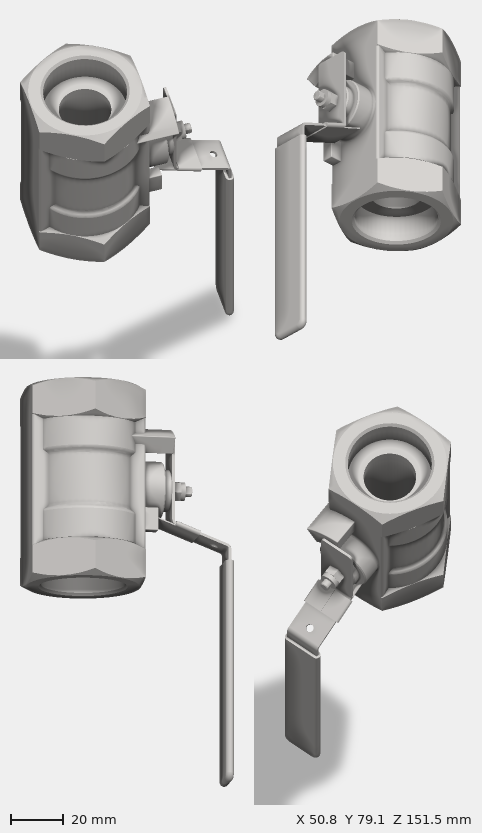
import cadquery as cq
import math


hex_flats = 44.0
hex_corners = hex_flats / math.cos(math.pi / 6)
half_flats = hex_flats / 2
half_corner_edge = hex_corners / 4
housing_length = 77.0
hex_end_height = 15.0
hex_face_diameter = 43.3
hex_chamfer_angle = 30.0
hex_blank_allowance = 1.5
bore_diameter = 20.0
socket_diameter = 32.0
socket_depth = 11.8
socket_chamfer = 0.98
rib_overlap = 2.1
rib_height = housing_length - 2 * (hex_end_height - rib_overlap)
rib_edge_radius = 1.0
neck_diameter = 41.0
neck_height = 23.0
neck_root_radius = 2.0
neck_lip_radius = 1.4

boss_diameter = 22.0
boss_top = 30.1
boss_root_radius = 0.8
boss_embedding = 1.5
collar_diameter = 16.0
edge_chamfer = 0.5
stem_diameter = 4.0
stem_flats = 3.2
stem_top = 42.0
stem_tip_chamfer = 0.3
nut_flats = 7.0
nut_hex_height = 3.2
nut_height = 5.0
nut_turn = 43.5

stop_inner_diameter = socket_diameter
stop_outer_diameter = 46.5
stop_start_angle = 50.0
stop_end_angle = 89.3
stop_top = 33.0
block_foot = 14.4
block_edge_radius = 0.3
lock_block_start_x = 7.4
lock_block_width = 4.5
lock_block_start_z = -17.9
lock_block_height = 8.8
lock_block_top = 27.0

lever_thickness = 1.0
lever_width = 14.2
lever_slope = 21.0
lever_head_top = 20.1
lever_corner_radius = 1.4
lever_underside = 33.2
lever_hole_diameter = 3.0
lever_hole_y = 50.9
upper_bend_z = -13.5
bend_radius = 1.0

grip_width = 16.0
grip_thickness = 3.2
grip_outer_y = 57.1
grip_top_z = -27.4
overall_height = 151.5
grip_bottom_z = housing_length / 2 - overall_height
grip_corner_radius = 3.0

slide_sheet = 0.5
slide_width = 16.0
slide_start = 1.0
slide_end = 10.9
slide_seam_gap = 0.08
tongue_length = 9.1

lever_top_y = lever_underside + lever_thickness
upper_bend_y = lever_underside + lever_thickness / 2
grip_y = grip_outer_y - grip_thickness / 2
slope = math.radians(lever_slope)
lower_bend_z = upper_bend_z - (grip_y - upper_bend_y) * math.tan(slope)
lever_end_z = grip_bottom_z + grip_corner_radius


def cylinder_y(diameter, y_start, y_end):
    """Cylinder around the stem axis between two Y levels."""
    return cq.Workplane("XZ", origin=(0, y_start, 0)).circle(diameter / 2).extrude(y_start - y_end)


def hex_end():
    """Hexagonal end, its corners turned off by a cone at both faces, standing on Z = 0."""
    face_radius = hex_face_diameter / 2
    blank_radius = hex_corners / 2 + hex_blank_allowance
    cone_height = (blank_radius - face_radius) * math.tan(math.radians(hex_chamfer_angle))
    prism = cq.Workplane("XY").polygon(6, hex_corners).extrude(hex_end_height)
    turned = (
        cq.Workplane("XZ")
        .moveTo(0, 0)
        .lineTo(face_radius, 0)
        .lineTo(blank_radius, cone_height)
        .lineTo(blank_radius, hex_end_height - cone_height)
        .lineTo(face_radius, hex_end_height)
        .lineTo(0, hex_end_height)
        .close()
        .revolve(360, (0, 0, 0), (0, 1, 0))
    )
    return prism.intersect(turned)


def neck_groove():
    """Cutter for the waist on both sides, rounded where it meets the neck and the ribs."""
    ring = (
        cq.Workplane("XY", origin=(0, 0, -neck_height / 2))
        .circle(hex_corners / 2)
        .circle(neck_diameter / 2)
        .extrude(neck_height)
    )
    beside_rib = (
        cq.Workplane("XY")
        .box(hex_corners, hex_corners, neck_height)
        .translate((half_corner_edge + hex_corners / 2, 0, 0))
    )
    groove = (
        ring.intersect(beside_rib)
        .faces("%CYLINDER")
        .faces("<X")
        .edges()
        .fillet(neck_root_radius)
    )
    return groove.union(groove.mirror("YZ"))


def waisted_middle():
    """Round middle of the housing with the waist cut in and the lips of the waist rounded."""
    middle_height = housing_length - 2 * hex_end_height
    blank = cq.Workplane("XY").cylinder(middle_height, half_flats).rotate((0, 0, 0), (0, 0, 1), 90)
    middle = blank.cut(neck_groove())
    for side in (-1, 1):
        for level in (-1, 1):
            lip_point = (side * half_flats, 0, level * neck_height / 2)
            lip = cq.selectors.NearestToPointSelector(lip_point)
            middle = middle.edges(lip).fillet(neck_lip_radius)
    return middle


def housing_core():
    """Round middle with its waist, two flat ribs at front and back, and the two hexagonal ends."""
    core = waisted_middle()
    ribs = (
        cq.Workplane("XY")
        .box(2 * half_corner_edge, hex_flats, rib_height)
        .edges("|Z")
        .fillet(rib_edge_radius)
    )
    end_start = housing_length / 2 - hex_end_height
    for z_start in (end_start, -housing_length / 2):
        core = core.union(hex_end().translate((0, 0, z_start)))
    return core.union(ribs)


def flow_passage():
    """Through bore with a chamfered socket at each end."""
    half_length = housing_length / 2
    passage = cq.Workplane("XY").cylinder(housing_length, bore_diameter / 2)
    for direction in (1, -1):
        socket = cq.Workplane("XY").cylinder(socket_depth, socket_diameter / 2)
        mouth = (
            cq.Workplane("XY", origin=(0, 0, direction * half_length))
            .circle(socket_diameter / 2 + socket_chamfer)
            .workplane(offset=-direction * socket_chamfer)
            .circle(socket_diameter / 2)
            .loft()
        )
        passage = passage.union(socket.translate((0, 0, direction * (half_length - socket_depth / 2))))
        passage = passage.union(mouth)
    return passage


def stem_boss():
    """Boss with a flared foot, and the collar that carries the lever."""
    foot_radius = boss_diameter / 2 + boss_root_radius
    flare_middle = boss_root_radius * (1 - math.sqrt(0.5))
    boss = (
        cq.Workplane("XY")
        .moveTo(0, half_flats - boss_embedding)
        .lineTo(foot_radius, half_flats - boss_embedding)
        .lineTo(foot_radius, half_flats)
        .threePointArc(
            (boss_diameter / 2 + flare_middle, half_flats + flare_middle),
            (boss_diameter / 2, half_flats + boss_root_radius),
        )
        .lineTo(boss_diameter / 2, boss_top)
        .lineTo(0, boss_top)
        .close()
        .revolve(360, (0, 0, 0), (0, 1, 0))
        .faces(">Y")
        .chamfer(edge_chamfer)
    )
    collar = cylinder_y(collar_diameter, boss_top, lever_underside).faces(">Y").chamfer(edge_chamfer)
    return boss.union(collar)


def stem_tip():
    """Threaded stem with two flats, reaching through the lever and the nut."""
    stem = cylinder_y(stem_diameter, lever_underside, stem_top).faces(">Y").chamfer(stem_tip_chamfer)
    flats = cq.Workplane("XY").box(stem_flats, 2 * stem_top, stem_diameter)
    return stem.intersect(flats)


def stem_nut():
    """Hexagon nut with a round locking collar."""
    hexagon = (
        cq.Workplane("XZ", origin=(0, lever_top_y, 0))
        .transformed(rotate=(0, 0, nut_turn))
        .polygon(6, nut_flats / math.cos(math.pi / 6))
        .extrude(-nut_hex_height)
    )
    return hexagon.union(cylinder_y(nut_flats, lever_top_y, lever_top_y + nut_height))


def stop_block():
    """Ring sector beside the boss that limits the lever's swing."""
    inner = stop_inner_diameter / 2
    outer = stop_outer_diameter / 2

    def on_circle(radius, angle):
        return radius * math.cos(math.radians(angle)), radius * math.sin(math.radians(angle))

    middle_angle = (stop_start_angle + stop_end_angle) / 2
    return (
        cq.Workplane("XZ", origin=(0, stop_top, 0))
        .moveTo(*on_circle(inner, stop_start_angle))
        .lineTo(*on_circle(outer, stop_start_angle))
        .threePointArc(on_circle(outer, middle_angle), on_circle(outer, stop_end_angle))
        .lineTo(*on_circle(inner, stop_end_angle))
        .threePointArc(on_circle(inner, middle_angle), on_circle(inner, stop_start_angle))
        .close()
        .extrude(stop_top - block_foot)
        .edges("|Y or >Y")
        .fillet(block_edge_radius)
    )


def lock_block():
    """Block below the boss that keeps the tongue of the lock slide from swinging sideways."""
    return (
        cq.Workplane("XY")
        .box(lock_block_width, lock_block_top - block_foot, lock_block_height, centered=False)
        .translate((lock_block_start_x, block_foot, lock_block_start_z))
        .edges("|Y or >Y")
        .fillet(block_edge_radius)
    )


def make_housing():
    """Housing with its blocks, boss and nutted stem as one solid, bored through along Z."""
    body = housing_core()
    for feature in (stop_block(), lock_block(), stem_boss(), stem_tip(), stem_nut()):
        body = body.union(feature)
    return body.cut(flow_passage())


def make_lever():
    """Flat strip bent outward and then down, with a hole for the stem and one in the slope."""
    half = lever_thickness / 2
    corner_shift = half * (1 - math.sin(slope)) / math.cos(slope)

    def bend_points(side):
        upper = (upper_bend_y + side * half, upper_bend_z + side * corner_shift)
        lower = (grip_y + side * half, lower_bend_z + side * corner_shift)
        return upper, lower

    upper_out, lower_out = bend_points(1)
    upper_in, lower_in = bend_points(-1)
    strip = (
        cq.Workplane("YZ", origin=(-lever_width / 2, 0, 0))
        .moveTo(upper_out[0], lever_head_top)
        .lineTo(*upper_out)
        .lineTo(*lower_out)
        .lineTo(lower_out[0], lever_end_z)
        .lineTo(lower_in[0], lever_end_z)
        .lineTo(*lower_in)
        .lineTo(*upper_in)
        .lineTo(upper_in[0], lever_head_top)
        .close()
        .extrude(lever_width)
    )
    bends = [
        (upper_out, bend_radius),
        (upper_in, bend_radius + lever_thickness),
        (lower_in, bend_radius),
        (lower_out, bend_radius + lever_thickness),
    ]
    for (y, z), radius in bends:
        strip = strip.edges("|X").edges(cq.selectors.NearestToPointSelector((0, y, z))).fillet(radius)
    strip = strip.faces(">Z").edges("|Y").fillet(lever_corner_radius)
    hole_z = upper_bend_z - (lever_hole_y - upper_bend_y) * math.tan(slope)
    hole = (
        cq.Workplane("XY")
        .cylinder(4 * lever_thickness, lever_hole_diameter / 2)
        .rotate((0, 0, 0), (1, 0, 0), -lever_slope)
        .translate((0, lever_hole_y, hole_z))
    )
    return strip.cut(hole).cut(stem_tip())


def make_grip(lever):
    """Sleeve with a full-round rim, closed at the bottom, with a pocket for the end of the lever."""
    rim_radius = grip_thickness / 2
    core_half_width = grip_width / 2 - rim_radius
    core_bottom = grip_bottom_z + rim_radius
    core_corner = grip_corner_radius - rim_radius
    corner_offset = core_corner * (1 - math.sqrt(0.5))

    def core_edge():
        return (
            cq.Workplane("XZ", origin=(0, grip_y, 0))
            .moveTo(-core_half_width, grip_top_z)
            .lineTo(-core_half_width, core_bottom + core_corner)
            .threePointArc(
                (-core_half_width + corner_offset, core_bottom + corner_offset),
                (-core_half_width + core_corner, core_bottom),
            )
            .lineTo(core_half_width - core_corner, core_bottom)
            .threePointArc(
                (core_half_width - corner_offset, core_bottom + corner_offset),
                (core_half_width, core_bottom + core_corner),
            )
            .lineTo(core_half_width, grip_top_z)
        )

    core = core_edge().close().extrude(rim_radius, both=True)
    rim = (
        cq.Workplane("XY", origin=(-core_half_width, grip_y, grip_top_z))
        .moveTo(0, rim_radius)
        .threePointArc((-rim_radius, 0), (0, -rim_radius))
        .close()
        .sweep(core_edge())
    )
    return core.union(rim).cut(lever)


def make_slide():
    """Folded sheet around the lever's slope, open along a seam, with a tongue toward the housing."""
    slide_thickness = lever_thickness + 2 * slide_sheet
    slide_length = slide_end - slide_start
    middle = (0, slide_start + slide_length / 2, 0)
    wrap = (
        cq.Workplane("XZ")
        .slot2D(slide_width, slide_thickness)
        .extrude(slide_length / 2, both=True)
        .cut(cq.Workplane("XY").box(lever_width, slide_length, lever_thickness))
    )
    seam = cq.Workplane("XY").box(slide_seam_gap, slide_length, slide_thickness / 2)
    wrap = wrap.cut(seam.translate((0, 0, slide_thickness / 2))).translate(middle)
    tongue = cq.Workplane("XY").box(lever_width, tongue_length, slide_sheet)
    tongue = tongue.translate((0, slide_start - tongue_length / 2, -(lever_thickness + slide_sheet) / 2))
    return (
        wrap.union(tongue)
        .rotate((0, 0, 0), (1, 0, 0), -lever_slope)
        .translate((0, upper_bend_y, upper_bend_z))
    )


housing = make_housing()
lever = make_lever()
grip = make_grip(lever)
slide = make_slide()

bodies = [housing, lever, grip, slide]
result = cq.Compound.makeCompound([body.solids().val() for body in bodies])